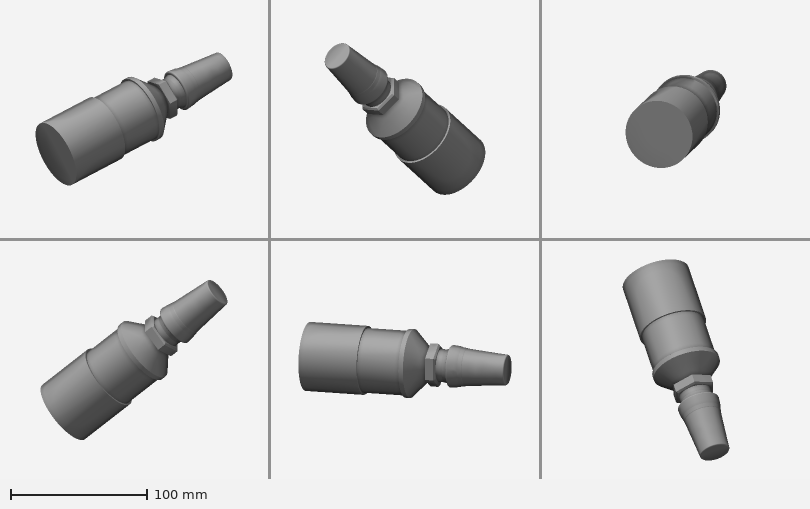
import cadquery as cq
import math

LENGTH = 152.5
OUTER_RADIUS = 50.8 / 2
BARREL_RADIUS = 47.5 / 2
NECK_RADIUS = 24.2 / 2
CONE_TOP_RADIUS = 23.3 / 2

GRIP_LENGTH = 44.4
COLLAR_START = 76.2
COLLAR_LENGTH = 3.5
COLLAR_END = COLLAR_START + COLLAR_LENGTH
NUT_START = COLLAR_END + OUTER_RADIUS - CONE_TOP_RADIUS

NUT_LENGTH = 7.5
NUT_ACROSS_FLATS = 28.2
NUT_CHAMFER = 1.2

FLARE_START = 105.3
FLARE_RADIUS = 13.3

LIP_START = 109.0
LIP_ROUNDING = 1.2
LIP_RADIUS = 15.7
BULGE_END = 117.9
BULGE_END_RADIUS = 14.5
BULGE_MID_RADIUS = 15.4
STEP_POSITION = 120.7
STEP_RADIUS = 14.0
STEP_DEPTH = 0.2
STEP_LENGTH = 0.5
TIP_RADIUS = 11.3
TIP_ROUNDING = 0.9


def make_body():
    """Grip, barrel, collar and conical shoulder."""
    return (
        cq.Workplane("XY")
        .moveTo(0, 0)
        .lineTo(OUTER_RADIUS, 0)
        .lineTo(OUTER_RADIUS, GRIP_LENGTH)
        .lineTo(BARREL_RADIUS, GRIP_LENGTH)
        .lineTo(BARREL_RADIUS, COLLAR_START)
        .lineTo(OUTER_RADIUS, COLLAR_START)
        .lineTo(OUTER_RADIUS, COLLAR_END)
        .lineTo(CONE_TOP_RADIUS, NUT_START)
        .lineTo(0, NUT_START)
        .close()
        .revolve(360, (0, 0, 0), (0, 1, 0))
    )


def make_nut():
    """Hexagon with corners toward +Z and -Z, chamfered on its sleeve side."""
    across_corners = NUT_ACROSS_FLATS / math.cos(math.pi / 6)
    return (
        cq.Workplane("XZ", origin=(0, NUT_START, 0))
        .transformed(rotate=(0, 0, 90))
        .polygon(6, across_corners)
        .extrude(-NUT_LENGTH)
        .faces(">Y")
        .chamfer(NUT_CHAMFER)
    )


def make_sleeve():
    """Neck, flare, rounded lip, bulge and tapered tip."""
    bulge_start = LIP_START + LIP_ROUNDING
    bulge_middle = (bulge_start + BULGE_END) / 2
    sleeve = (
        cq.Workplane("XY")
        .moveTo(0, NUT_START)
        .lineTo(NECK_RADIUS, NUT_START)
        .lineTo(NECK_RADIUS, FLARE_START)
        .lineTo(FLARE_RADIUS, LIP_START)
        .lineTo(LIP_RADIUS - LIP_ROUNDING, LIP_START)
        .radiusArc((LIP_RADIUS, bulge_start), -LIP_ROUNDING)
        .threePointArc((BULGE_MID_RADIUS, bulge_middle), (BULGE_END_RADIUS, BULGE_END))
        .lineTo(STEP_RADIUS, STEP_POSITION)
        .lineTo(STEP_RADIUS - STEP_DEPTH, STEP_POSITION + STEP_LENGTH)
        .lineTo(TIP_RADIUS, LENGTH - TIP_ROUNDING)
        .radiusArc((TIP_RADIUS - TIP_ROUNDING, LENGTH), -TIP_ROUNDING)
        .lineTo(0, LENGTH)
        .close()
    )
    return sleeve.revolve(360, (0, 0, 0), (0, 1, 0))


result = make_body().union(make_nut()).union(make_sleeve())